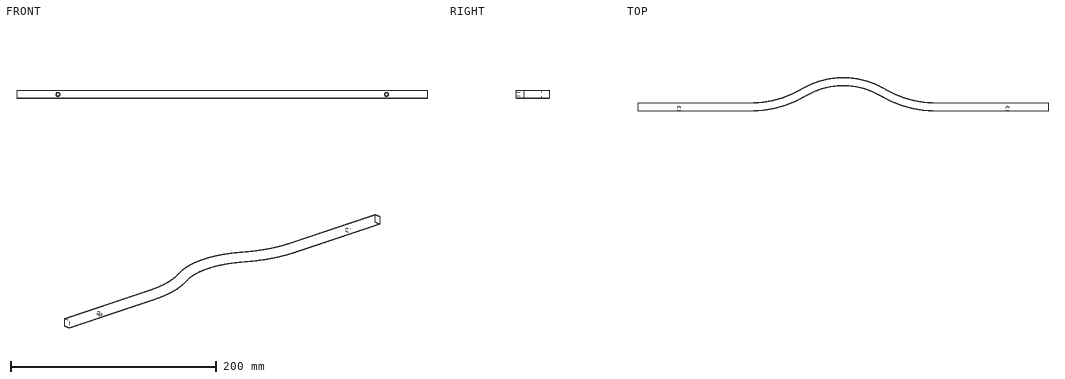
import cadquery as cq
import math

length = 400.0
width = 8.0
edge_fillet = 1.0

offset = 25.0
foot_radius = 100.0
crown_radius = 75.0

hole_diameter = 3.25
mouth_diameter = 4.0
tip_angle = 118.0
hole_depth = 4.0
hole_spacing = 320.0

bend_angle = math.acos(1 - offset / (foot_radius + crown_radius))
bend_half_length = (foot_radius + crown_radius) * math.sin(bend_angle)
base_y = -offset / 2
crown_y = offset / 2
foot_center_y = base_y + foot_radius
crown_center_y = crown_y - crown_radius


def foot_point(angle):
    """Point on the left foot arc, turned by angle from its straight end."""
    x = -bend_half_length + foot_radius * math.sin(angle)
    return (x, foot_center_y - foot_radius * math.cos(angle))


def crown_point(angle):
    """Point on the crown arc, turned by angle from the middle of the bar."""
    return (crown_radius * math.sin(angle), crown_center_y + crown_radius * math.cos(angle))


def mirrored(point):
    """Point reflected across the middle of the bar."""
    return (-point[0], point[1])


def make_bar():
    """Sweep a rounded square along the bent centre line."""
    left_inflection = crown_point(-bend_angle)
    foot_middle = foot_point(bend_angle / 2)
    center_line = (
        cq.Workplane("XY")
        .moveTo(-length / 2, base_y)
        .lineTo(-bend_half_length, base_y)
        .threePointArc(foot_middle, left_inflection)
        .threePointArc(crown_point(0), mirrored(left_inflection))
        .threePointArc(mirrored(foot_middle), (bend_half_length, base_y))
        .lineTo(length / 2, base_y)
    )
    section = cq.Sketch().rect(width, width).vertices().fillet(edge_fillet)
    return (
        cq.Workplane("YZ", origin=(-length / 2, base_y, 0))
        .placeSketch(section)
        .sweep(center_line)
    )


def make_hole(x):
    """Pointed drill shape with a flared mouth, placed on the -Y side at x."""
    mouth_radius = mouth_diameter / 2
    hole_radius = hole_diameter / 2
    flare_depth = mouth_radius - hole_radius
    tip_depth = hole_radius / math.tan(math.radians(tip_angle / 2))
    profile = [
        (0, 0),
        (mouth_radius, 0),
        (hole_radius, flare_depth),
        (hole_radius, hole_depth),
        (0, hole_depth + tip_depth),
    ]
    return (
        cq.Workplane("XY", origin=(x, base_y - width / 2, 0))
        .polyline(profile)
        .close()
        .revolve(360, (0, 0, 0), (0, 1, 0))
    )


result = make_bar()
for hole_x in (-hole_spacing / 2, hole_spacing / 2):
    result = result.cut(make_hole(hole_x))